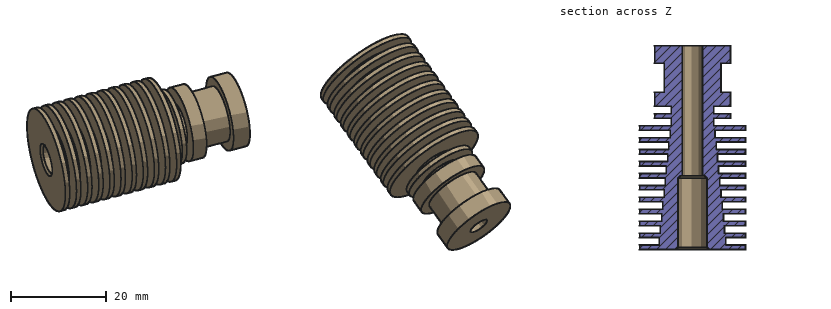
import cadquery as cq

total_length = 42.7

flange_diameter = 16.0
rear_flange_length = 3.7
groove_diameter = 12.0
groove_length = 6.0
front_flange_length = 3.0

fin_diameter = 22.3
fin_thickness = 1.0
large_fin_count = 11
fin_count = large_fin_count + 1
neck_length = rear_flange_length + groove_length + front_flange_length
fin_section_length = total_length - neck_length
fin_pitch = fin_section_length / fin_count

core_front_diameter = 14.0
core_rear_diameter = 9.0
core_step = (core_front_diameter - core_rear_diameter) / (large_fin_count - 1)

mouth_diameter = 7.0
bore_diameter = 6.0
bore_depth = 14.95
bore_end_diameter = 5.0
through_diameter = 4.2
mouth_chamfer = (mouth_diameter - bore_diameter) / 2
bore_end_taper = (bore_diameter - bore_end_diameter) / 2


def disc(diameter, start, length):
    """Cylinder on the Y axis running from y = start toward +Y."""
    plane = cq.Workplane("XZ", origin=(0, start, 0))
    return plane.circle(diameter / 2).extrude(-length)


def finned_section():
    """Fins, each followed by the stretch of core that reaches the next one."""
    section = disc(core_rear_diameter, 0, fin_section_length)
    for index in range(fin_count):
        start = index * fin_pitch
        diameter = fin_diameter if index < large_fin_count else flange_diameter
        core_diameter = max(core_front_diameter - index * core_step, core_rear_diameter)
        section = section.union(disc(core_diameter, start, fin_pitch))
        section = section.union(disc(diameter, start, fin_thickness))
    return section


def mounting_neck():
    """Two flanges with the clamping groove between them."""
    groove_start = fin_section_length + front_flange_length
    rear_flange_start = groove_start + groove_length
    neck = disc(flange_diameter, fin_section_length, front_flange_length)
    neck = neck.union(disc(groove_diameter, groove_start, groove_length))
    return neck.union(disc(flange_diameter, rear_flange_start, rear_flange_length))


def bore():
    """Half section of the bore as (radius, y), revolved about the Y axis."""
    profile = [
        (0, 0),
        (mouth_diameter / 2, 0),
        (bore_diameter / 2, mouth_chamfer),
        (bore_diameter / 2, bore_depth),
        (bore_end_diameter / 2, bore_depth + bore_end_taper),
        (through_diameter / 2, bore_depth + bore_end_taper),
        (through_diameter / 2, total_length),
        (0, total_length),
    ]
    return cq.Workplane("XY").polyline(profile).close().revolve(360, (0, 0, 0), (0, 1, 0))


result = finned_section().union(mounting_neck()).cut(bore())